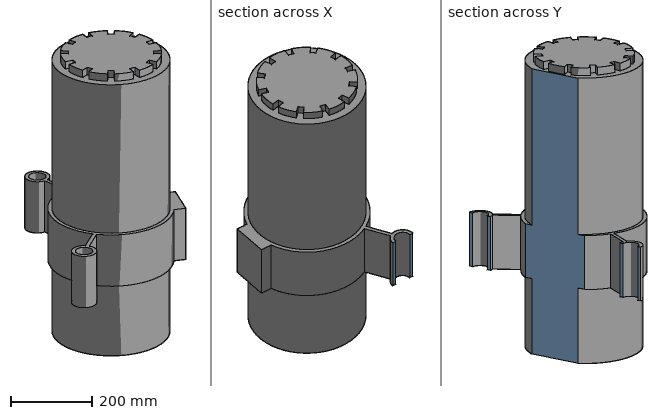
import cadquery as cq
import math

body_height = 740.0
cap_height = 20.0
collar_bottom = 195.0
collar_height = 140.0

body_radius = 146.0
collar_thickness = 10.0
collar_radius = body_radius + collar_thickness
cap_radius = 125.0

notch_count = 12
notch_angle = 8.0
notch_depth = 20.0

tube_radius = 31.25
tube_wall = 10.0
tube_bore_radius = tube_radius - tube_wall
tube_center_distance = 256.82
tube_angles = (210.0, 330.0)
web_thickness = 10.0

block_width = 100.0
block_reach = 177.78


def cylinder(radius, height, bottom):
    """Vertical cylinder on the part axis."""
    return cq.Workplane("XY").workplane(offset=bottom).circle(radius).extrude(height)


def collar_level_box(start, end, width):
    """Box as tall as the collar, running along +X from start to end."""
    return (
        cq.Workplane("XY")
        .workplane(offset=collar_bottom)
        .center((start + end) / 2, 0)
        .rect(end - start, width)
        .extrude(collar_height)
    )


def turned(shape, angle):
    """Shape turned about the part axis."""
    return shape.rotate((0, 0, 0), (0, 0, 1), angle)


def notched_cap():
    """Disc with evenly spaced notches in its rim, their sides lying on radii."""
    cap = cylinder(cap_radius, cap_height, body_height)
    notch_pitch = 360.0 / notch_count
    notch = (
        cq.Workplane("XZ")
        .center(cap_radius, body_height + cap_height / 2)
        .rect(2 * notch_depth, cap_height)
        .revolve(notch_angle, (-cap_radius, 0), (-cap_radius, 1))
    )
    notch = turned(notch, -notch_angle / 2)
    for index in range(notch_count):
        cap = cap.cut(turned(notch, (index + 0.5) * notch_pitch))
    return cap


def guide_tube(angle):
    """Bored tube joined to the collar by a radial web."""
    x = tube_center_distance * math.cos(math.radians(angle))
    y = tube_center_distance * math.sin(math.radians(angle))
    web = turned(collar_level_box(body_radius, tube_center_distance, web_thickness), angle)
    tube = cylinder(tube_radius, collar_height, collar_bottom).translate((x, y, 0))
    bore = cylinder(tube_bore_radius, collar_height, collar_bottom).translate((x, y, 0))
    return web.union(tube).cut(bore)


def back_block():
    """Block standing out of the collar toward +Y."""
    return turned(collar_level_box(0, block_reach, block_width), 90)


result = cylinder(body_radius, body_height, 0)
result = result.union(cylinder(collar_radius, collar_height, collar_bottom))
result = result.union(notched_cap())
result = result.union(back_block())
for tube_angle in tube_angles:
    result = result.union(guide_tube(tube_angle))